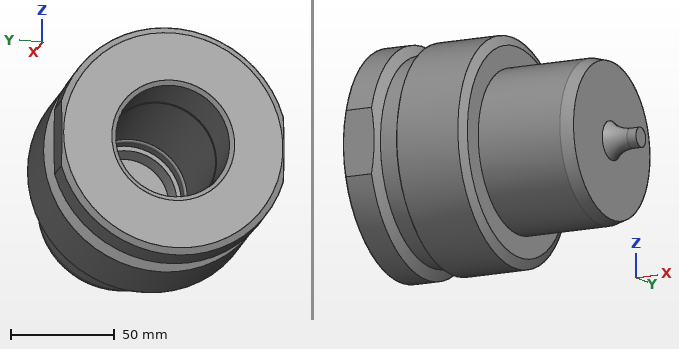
import cadquery as cq
import math

total_length = 133.5
flange_rim_start = 1.9
flange_rim_end = 15.8
groove_start = 19.0
groove_end = 27.8
collar_rim_start = 30.6
collar_rim_end = 64.0
collar_end = 66.5
shank_taper_start = 111.0
shank_end = 117.6
spigot_start = 128.5

collar_diameter = 113.9
flange_radius = 57.4
open_face_radius = 54.3
collar_radius = collar_diameter / 2
groove_radius = 51.9
shank_radius = 40.8
shank_end_radius = 39.1
spigot_radius = 5.0
spigot_flare_radius = 15.0

flat_distance = 55.0

mouth_radius = 30.5
mouth_depth = 1.3
front_bore_radius = 28.2
front_bore_end = 28.0
rear_bore_radius = 27.8
rear_bore_start = 28.5
rear_bore_end = 86.8
lip_round = 1.3
bore_floor = 93.5
recess_mouth_radius = 24.2
recess_floor_radius = 21.4
recess_taper_angle = 30.0


def revolve_about_x(profile):
    return profile.close().revolve(360, (0, 0, 0), (1, 0, 0))


def make_body():
    def flare_radius_at(x):
        run = spigot_start - x
        return spigot_radius + spigot_flare_radius - math.sqrt(spigot_flare_radius**2 - run**2)

    flare_middle = (shank_end + spigot_start) / 2
    profile = (
        cq.Workplane("XY")
        .moveTo(0, 0)
        .lineTo(0, open_face_radius)
        .lineTo(flange_rim_start, flange_radius)
        .lineTo(flange_rim_end, flange_radius)
        .lineTo(groove_start, groove_radius)
        .lineTo(groove_end, groove_radius)
        .lineTo(collar_rim_start, collar_radius)
        .lineTo(collar_rim_end, collar_radius)
        .lineTo(collar_end, groove_radius)
        .lineTo(collar_end, shank_radius)
        .lineTo(shank_taper_start, shank_radius)
        .lineTo(shank_end, shank_end_radius)
        .lineTo(shank_end, flare_radius_at(shank_end))
        .threePointArc(
            (flare_middle, flare_radius_at(flare_middle)),
            (spigot_start, spigot_radius),
        )
        .lineTo(total_length, spigot_radius)
        .lineTo(total_length, 0)
    )
    return revolve_about_x(profile)


def make_bore():
    inner_bore_radius = rear_bore_radius - lip_round
    taper_drop = recess_mouth_radius - recess_floor_radius
    recess_floor = bore_floor + taper_drop / math.tan(math.radians(recess_taper_angle))
    profile = (
        cq.Workplane("XY")
        .moveTo(0, 0)
        .lineTo(0, mouth_radius)
        .lineTo(mouth_depth, front_bore_radius)
        .lineTo(front_bore_end, front_bore_radius)
        .lineTo(rear_bore_start, rear_bore_radius)
        .lineTo(rear_bore_end, rear_bore_radius)
        .radiusArc((rear_bore_end + lip_round, inner_bore_radius), -lip_round)
        .lineTo(bore_floor, inner_bore_radius)
        .lineTo(bore_floor, recess_mouth_radius)
        .lineTo(recess_floor, recess_floor_radius)
        .lineTo(recess_floor, 0)
    )
    return revolve_about_x(profile)


def make_flat_cutters():
    cut_length = (groove_start + groove_end) / 2
    cut_depth = flange_radius - flat_distance
    cutters = cq.Workplane("XY")
    for side in (-1, 1):
        cutters = cutters.union(
            cq.Workplane("XY")
            .box(cut_length, cut_depth, 2 * flange_radius, centered=(False, True, True))
            .translate((0, side * (flat_distance + cut_depth / 2), 0))
        )
    return cutters


result = make_body().cut(make_bore()).cut(make_flat_cutters())